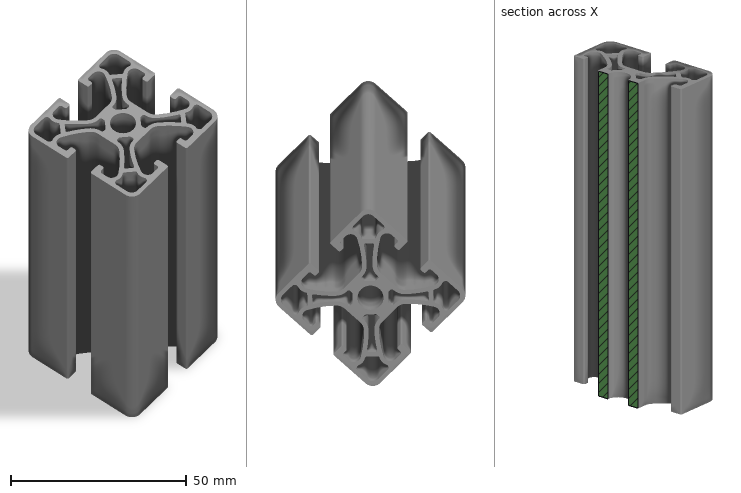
import cadquery as cq
import math

WIDTH = 40.0
LENGTH = 100.0
CORNER_RADIUS = 3.0
BORE_DIAMETER = 7.4
SIDES = 4

SLOT_HALF_OPENING = 4.1
FLANGE_THICKNESS = 1.9
LIP_DEPTH = 4.0
LIP_WIDTH = 2.0
LIP_ROUND = 0.5
LIP_INNER_RADIUS = 0.7
FLOOR_HEIGHT = 7.5
FLOOR_HALF_WIDTH = 3.05

FLOOR_START_ANGLE = -90
FLANK_START_ANGLE = -45
END_START_ANGLE = -29
END_STOP_ANGLE = 90
FLOOR_RADIUS = 3.45
FLANK_RADIUS = 30.0

LEG_WALL = 1.3
SLOT_END_WALL = 1.25
OUTER_WALL = 1.3
CROSS_WALL = 1.4

CHAMBER_OUTER_RADIUS = 2.1
CHAMBER_SIDE_ROUND = 1.0
CHAMBER_INNER_ROUND = 0.5

CHANNEL_HUB_DISTANCE = 5.1
CHANNEL_END_DISTANCE = 16.6
CHANNEL_HUB_EDGE = 2.5
CHANNEL_HUB_ROUND = 0.5
CHANNEL_END_ROUND = 0.4

TOLERANCE = 1e-3
DIAGONAL_ANGLE = 45
HALF_WIDTH = WIDTH / 2
CEILING = HALF_WIDTH - FLANGE_THICKNESS


def polar(centre, radius, angle):
    """Point at the given radius and angle (degrees) around a centre."""
    turn = math.radians(angle)
    return (centre[0] + radius * math.cos(turn), centre[1] + radius * math.sin(turn))


def along_diagonal(x, y):
    """Distance of a point from the profile axis, measured along the diagonal."""
    return (x + y) / math.sqrt(2)


FLOOR_CENTRE = (FLOOR_HALF_WIDTH, FLOOR_HEIGHT + FLOOR_RADIUS)
FLANK_CENTRE = polar(FLOOR_CENTRE, FLOOR_RADIUS - FLANK_RADIUS, FLANK_START_ANGLE)
FLANK_END = polar(FLANK_CENTRE, FLANK_RADIUS, END_START_ANGLE)
END_RADIUS = (CEILING - FLANK_END[1]) / (1 - math.sin(math.radians(END_START_ANGLE)))
END_CENTRE = polar(FLANK_END, -END_RADIUS, END_START_ANGLE)


def arc(centre, radius, start, stop):
    """Arc as its start, middle and end points."""
    return [polar(centre, radius, angle) for angle in (start, (start + stop) / 2, stop)]


def across_y_axis(point):
    return (-point[0], point[1])


def across_diagonal(point):
    return (point[1], point[0])


def mirrored(pieces, reflect):
    """Reflected copy of outline pieces, run through in the opposite direction."""
    return [[reflect(point) for point in reversed(piece)] for piece in reversed(pieces)]


def prism(pieces):
    """Full-length solid whose outline joins arcs and single points by straight lines."""
    here = pieces[0][0]
    outline = cq.Workplane("XY").moveTo(*here)
    for piece in pieces:
        if math.dist(here, piece[0]) > TOLERANCE:
            outline = outline.lineTo(*piece[0])
        if len(piece) > 1:
            outline = outline.threePointArc(piece[1], piece[2])
        here = piece[-1]
    return outline.close().extrude(LENGTH)


def square_bar(size, centre=(0, 0)):
    return cq.Workplane("XY").center(*centre).rect(size, size).extrude(LENGTH)


def round_bar(radius, centre=(0, 0)):
    return cq.Workplane("XY").center(*centre).circle(radius).extrude(LENGTH)


def round_edges(body, chosen, radius):
    """Fillet the lengthwise edges whose x and y satisfy the given test."""
    edges = body.edges("|Z").filter(lambda edge: chosen(edge.Center().x, edge.Center().y))
    return edges.fillet(radius)


def slot():
    """Void of the slot that opens toward +Y."""
    lip_inner = SLOT_HALF_OPENING + LIP_WIDTH
    tip_round_y = HALF_WIDTH - LIP_DEPTH + LIP_ROUND
    opening_round_x = SLOT_HALF_OPENING + LIP_ROUND
    inner_corner = (lip_inner + LIP_INNER_RADIUS, CEILING - LIP_INNER_RADIUS)
    half = [
        arc(FLOOR_CENTRE, FLOOR_RADIUS, FLOOR_START_ANGLE, FLANK_START_ANGLE),
        arc(FLANK_CENTRE, FLANK_RADIUS, FLANK_START_ANGLE, END_START_ANGLE),
        arc(END_CENTRE, END_RADIUS, END_START_ANGLE, END_STOP_ANGLE),
        arc(inner_corner, LIP_INNER_RADIUS, 90, 180),
        arc((lip_inner - LIP_ROUND, tip_round_y), LIP_ROUND, 0, -90),
        arc((opening_round_x, tip_round_y), LIP_ROUND, 270, 180),
        arc((opening_round_x, HALF_WIDTH - LIP_ROUND), LIP_ROUND, 180, 90),
    ]
    return prism(half + mirrored(half, across_y_axis))


def chamber():
    """Hollow in the +X +Y corner, bounded by the outer walls, both slot ends and the cross wall."""
    outer = HALF_WIDTH - OUTER_WALL
    inner = END_CENTRE[0]
    middle = (outer + inner) / 2
    body = square_bar(outer - inner, (middle, middle))
    for centre in (END_CENTRE, across_diagonal(END_CENTRE)):
        body = body.cut(round_bar(END_RADIUS + SLOT_END_WALL, centre))

    start = CHANNEL_END_DISTANCE + CROSS_WALL
    beyond_cross_wall = square_bar(WIDTH, (start + HALF_WIDTH, 0))
    body = body.intersect(beyond_cross_wall.rotate((0, 0, 0), (0, 0, 1), DIAGONAL_ANGLE))

    def at_side(x, y):
        return max(x, y) > outer - TOLERANCE and abs(x - y) > TOLERANCE

    def at_cross_wall(x, y):
        return along_diagonal(x, y) < start + TOLERANCE

    def at_outer_corner(x, y):
        return min(x, y) > outer - TOLERANCE

    body = round_edges(body, at_side, CHAMBER_SIDE_ROUND)
    body = round_edges(body, at_cross_wall, CHAMBER_INNER_ROUND)
    return round_edges(body, at_outer_corner, CHAMBER_OUTER_RADIUS)


def channel():
    """Hollow along the +X +Y leg, whose sides run parallel to the slot outlines."""
    flank_radius = FLANK_RADIUS + LEG_WALL
    end_rise = CHANNEL_END_DISTANCE - along_diagonal(*FLANK_CENTRE)
    end_angle = math.degrees(math.asin(end_rise / flank_radius)) - DIAGONAL_ANGLE
    hub_line_sum = CHANNEL_HUB_DISTANCE * math.sqrt(2)
    side = [
        [(CHANNEL_HUB_EDGE, hub_line_sum - CHANNEL_HUB_EDGE)],
        [(CHANNEL_HUB_EDGE, FLOOR_HEIGHT - LEG_WALL)],
        arc(FLOOR_CENTRE, FLOOR_RADIUS + LEG_WALL, FLOOR_START_ANGLE, FLANK_START_ANGLE),
        arc(FLANK_CENTRE, flank_radius, FLANK_START_ANGLE, end_angle),
    ]
    body = prism(side + mirrored(side, across_diagonal))

    def at_end(x, y):
        return along_diagonal(x, y) > CHANNEL_END_DISTANCE - TOLERANCE

    def at_hub(x, y):
        return min(x, y) < CHANNEL_HUB_EDGE + TOLERANCE

    body = round_edges(body, at_end, CHANNEL_END_ROUND)
    return round_edges(body, at_hub, CHANNEL_HUB_ROUND)


profile = square_bar(WIDTH).edges("|Z").fillet(CORNER_RADIUS)
profile = profile.cut(round_bar(BORE_DIAMETER / 2))
for void in (slot(), chamber(), channel()):
    for side_number in range(SIDES):
        turn = side_number * 360 / SIDES
        profile = profile.cut(void.rotate((0, 0, 0), (0, 0, 1), turn))

result = profile